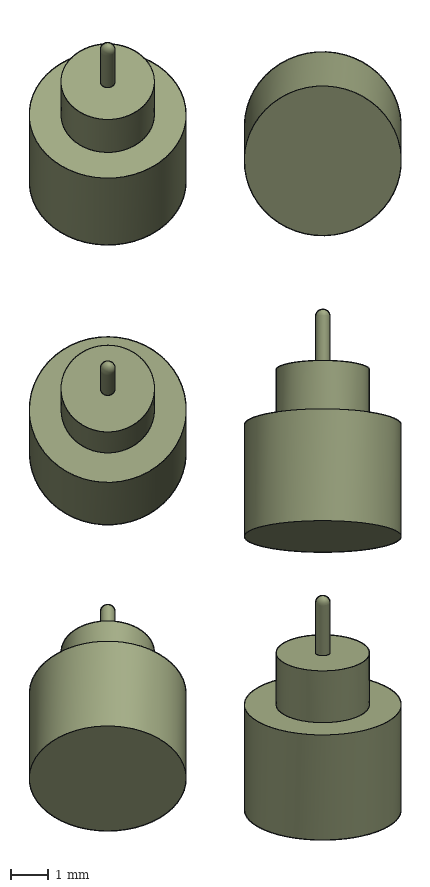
import cadquery as cq

total_height = 6.2

body_diameter = 4.2
body_height = 3.05
collar_diameter = 2.5
collar_height = 1.5
collar_top = body_height + collar_height

core_diameter = 1.95

pin_diameter = 0.395
pin_radius = pin_diameter / 2
pin_height = total_height - collar_top


def cylinder(diameter, height, base_z):
    """Upright cylinder centred on the Z axis."""
    return cq.Workplane("XY").workplane(offset=base_z).circle(diameter / 2).extrude(height)


def round_tipped_pin():
    """Pin revolved from a half profile whose top end is a quarter circle."""
    shoulder_z = total_height - pin_radius
    arc_offset = pin_radius / 2**0.5
    return (
        cq.Workplane("XZ")
        .moveTo(0, total_height - pin_height)
        .lineTo(pin_radius, total_height - pin_height)
        .lineTo(pin_radius, shoulder_z)
        .threePointArc((arc_offset, shoulder_z + arc_offset), (0, total_height))
        .close()
        .revolve(360, (0, 0), (0, 1))
    )


body = cylinder(body_diameter, body_height, 0)
collar = cylinder(collar_diameter, collar_height, body_height)
core = cylinder(core_diameter, collar_height, body_height)
shell = body.union(collar).cut(core)

result = shell.union(core, clean=False).union(round_tipped_pin(), clean=False)